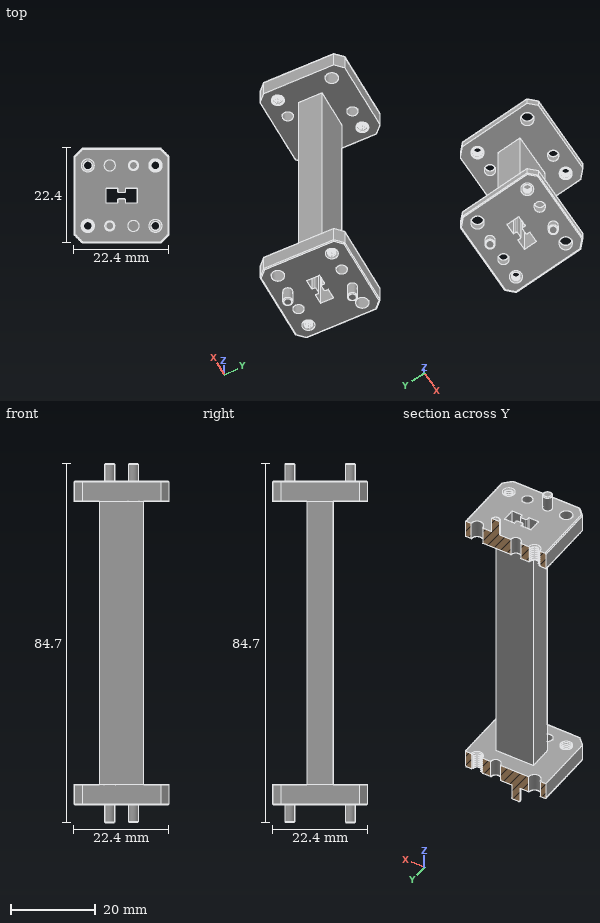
import cadquery as cq

flange_side = 22.4
flange_thickness = 4.8
tube_length = 66.7
flange_corner_chamfer = 1.95
flange_face_chamfer = 0.25
upper_flange_base = flange_thickness + tube_length
total_length = upper_flange_base + flange_thickness

tube_width = 10.4
tube_depth = 6.3

bore_width = 7.3
bore_height = 3.4
ridge_width = 1.9
ridge_gap = 1.4
ridge_radius = 0.3

pin_x = 2.8
pin_y = 7.1
pin_diameter = 2.4
pin_projection = 4.15
long_pin_projection = 4.2
pin_end_chamfer = 0.25
pin_hole_diameter = 2.6

mount_x = 8.0
mount_y = 7.1
clearance_diameter = 3.1
countersink_diameter = 3.05
countersink_depth = 0.25
thread_major_diameter = 2.9
thread_minor_diameter = 2.0
thread_turns = 7


def cylinder(x, y, z, diameter, height):
    return cq.Workplane("XY", origin=(x, y, z)).circle(diameter / 2).extrude(height)


def pin(x, y, projection):
    """Pin flush with the flange's inner face, standing out beyond its outer face."""
    shaft = cylinder(x, y, 0, pin_diameter, flange_thickness + projection)
    return shaft.faces(">Z").chamfer(pin_end_chamfer)


def tapped_hole(x, y):
    """Through hole, countersunk at both ends, with V-shaped ring grooves standing in for its thread."""
    major_radius = thread_major_diameter / 2
    minor_radius = thread_minor_diameter / 2
    mouth_radius = countersink_diameter / 2
    pitch = (flange_thickness - 2 * countersink_depth) / thread_turns
    profile = cq.Workplane("XZ").lineTo(mouth_radius, 0)
    profile = profile.lineTo(mouth_radius - countersink_depth, countersink_depth)
    for turn in range(thread_turns):
        groove_start = countersink_depth + turn * pitch
        profile = profile.lineTo(major_radius, groove_start + pitch / 4)
        profile = profile.lineTo(minor_radius, groove_start + 3 * pitch / 4)
    profile = profile.lineTo(mouth_radius - countersink_depth, flange_thickness - countersink_depth)
    profile = profile.lineTo(mouth_radius, flange_thickness)
    profile = profile.lineTo(0, flange_thickness).close()
    return profile.revolve(360, (0, 0, 0), (0, 1, 0)).translate((x, y, 0))


def flange(first_projection, second_projection):
    """Flange with its inner face at Z = 0 and its outer face up."""
    plate = (
        cq.Workplane("XY")
        .rect(flange_side, flange_side)
        .extrude(flange_thickness)
        .edges("|Z")
        .chamfer(flange_corner_chamfer)
        .faces(">Z")
        .chamfer(flange_face_chamfer)
    )
    for side in (1, -1):
        plate = plate.cut(cylinder(-side * pin_x, side * pin_y, 0, pin_hole_diameter, flange_thickness))
        plate = plate.cut(cylinder(side * mount_x, side * mount_y, 0, clearance_diameter, flange_thickness))
        plate = plate.cut(tapped_hole(-side * mount_x, side * mount_y))
    plate = plate.union(pin(pin_x, pin_y, first_projection))
    return plate.union(pin(-pin_x, -pin_y, second_projection))


def bore():
    """Rectangular channel narrowed by a rounded ridge on each long wall."""
    ridge_height = (bore_height - ridge_gap) / 2
    channel = cq.Workplane("XY").rect(bore_width, bore_height).extrude(total_length)
    for side in (1, -1):
        ridge_y = side * (bore_height - ridge_height) / 2
        inner_edges = "|Z and <Y" if side > 0 else "|Z and >Y"
        ridge = (
            cq.Workplane("XY")
            .center(0, ridge_y)
            .rect(ridge_width, ridge_height)
            .extrude(total_length)
            .edges(inner_edges)
            .fillet(ridge_radius)
        )
        channel = channel.cut(ridge)
    return channel


tube = cq.Workplane("XY", origin=(0, 0, flange_thickness)).rect(tube_width, tube_depth).extrude(tube_length)
upper_flange = flange(pin_projection, pin_projection).translate((0, 0, upper_flange_base))
lower_flange = (
    flange(pin_projection, long_pin_projection)
    .rotate((0, 0, 0), (1, 0, 0), 180)
    .translate((0, 0, flange_thickness))
)

result = tube.union(upper_flange).union(lower_flange).cut(bore())